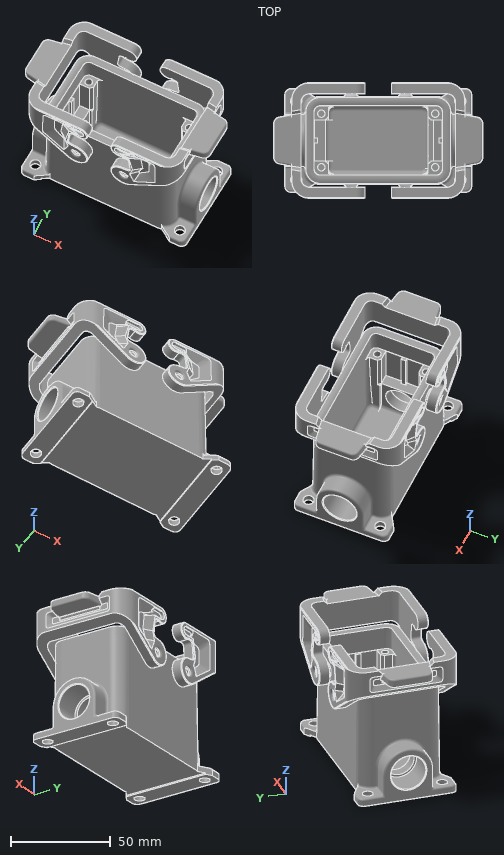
import cadquery as cq
import math

rim_x = 36.3
rim_y = 21.5
draft_growth = 0.5
corner_radius = 7.1
base_z = 0.7
collar_z = 51.5
rim_z = 56.5
wall = 4.1
crown_height = 0.4
crown_root = 0.5
cavity_x = rim_x - wall
cavity_y = rim_y - wall
cavity_corner = corner_radius - wall
floor_z = 4.9
floor_fillet = 2.1
cavity_draft = 0.6
trough_corner = 2.6

post_x = 25.0
post_y = 10.3
post_z = 44.6
post_bevel = 1.6
bay_x = 32.0
screw_x = 28.6
screw_y = 13.4
screw_radius = 1.84
screw_depth = 15.8
left_block_x = 26.5
ledge_z = 24.2
ramp_start_x = 27.6
ramp_rise = 4.6
rib_depth = 1.7
rib_width = 2.5

foot_x = 46.9
foot_y = 26.0
foot_top_z = 3.9
foot_corner = 3.2
foot_flat_x = 38.6
foot_tip_x = 31.4
pad_inner_x = 35.5
foot_edge = 1.0
foot_hole_x = 41.2
foot_hole_y = 19.7
foot_hole_radius = 2.7
entry_z = 15.0
entry_radius = 13.0
root_fillet = 1.3
bore_radius = 9.2
bore_chamfer = 0.4
passage_radius = 7.9

lever_end_x = 43.5
lever_width = 58.1
lever_y = lever_width / 2
lever_top_z = 73.2
cheek_thickness = 5.7
end_thickness = 4.8
lever_corner = 9.0
lever_inner_corner = 4.0
lever_edge = 0.4
pivot_x = 13.6
pivot_z = 47.6
pivot_radius = 7.0
nose_radius = 4.4
nose_x = pivot_x - pivot_radius + nose_radius
nose_z = lever_top_z - nose_radius
lever_low_z = 59.7
cheek_y = lever_y - cheek_thickness
hook_z = 64.9
hook_depth_top = 16.5
hook_depth_low = 17.6
hook_low_z = 55.1
hook_fillet = 1.6
cheek_pocket_depth = 3.2
pocket_corner = 4.2
pocket_reach = 5.8
channel_length = 5.5
channel_width = 4.4
channel_depth = 1.6
channel_slope = 25.0
socket_radius = 2.3
socket_bottom_radius = 1.8
socket_round = 1.2
socket_depth = 0.5
pin_radius = 3.6
pin_tip_radius = 2.5
pin_land = 0.7
pin_embed = 3.0

tab_x = 52.5
tab_top_z = 71.4
tab_tip_low_z = 67.0
tab_root_low_z = 66.4
tab_tip_y = 11.3
tab_root_y = 13.6
tab_corner = 3.6
tab_edge = 0.9
web_y = 12.2
web_height = 1.4
web_run = 0.7
notch_slope = 45.0
end_pocket_y = 19.3
end_pocket_low_z = 61.5
end_pocket_top_z = 70.0
end_pocket_slope = 2.6
end_pocket_depth = 2.1
end_pocket_corner = 1.7

margin = 0.5


def box(x0, x1, y0, y1, z0, z1):
    return cq.Workplane("XY").box(x1 - x0, y1 - y0, z1 - z0, centered=False).translate((x0, y0, z0))


def rounded_block(half_x, half_y, radius, z0, z1):
    return box(-half_x, half_x, -half_y, half_y, z0, z1).edges("|Z").fillet(radius)


def both_ends(solid):
    return solid.union(solid.mirror("YZ"))


def drafted_block(low_x, low_y, radius, z0, z1, growth):
    """Rounded block whose walls move outward by growth from z0 to z1."""
    low = cq.Sketch().rect(2 * low_x, 2 * low_y).vertices().fillet(radius)
    high = cq.Sketch().rect(2 * (low_x + growth), 2 * (low_y + growth)).vertices().fillet(radius)
    lift = cq.Location(cq.Vector(0, 0, z1 - z0))
    return cq.Workplane("XY", origin=(0, 0, z0)).placeSketch(low, high.moved(lift)).loft()


def make_shell():
    low_x = rim_x + draft_growth
    low_y = rim_y + draft_growth
    drafted = drafted_block(low_x, low_y, corner_radius, base_z, collar_z, -draft_growth)
    return drafted.union(rounded_block(rim_x, rim_y, corner_radius, collar_z, rim_z))


def make_crown():
    """Shallow arched crown that runs around the rim."""
    half = wall / 2
    mid_x = rim_x - half
    mid_y = rim_y - half
    path = rounded_block(mid_x, mid_y, corner_radius - half, 0, rim_z).faces(">Z").wires()
    section = (
        cq.Workplane("XZ").center(mid_x, rim_z).moveTo(-half, -crown_root).lineTo(-half, 0)
        .threePointArc((0, crown_height), (half, 0)).lineTo(half, -crown_root).close()
    )
    return section.sweep(path)


def make_foot():
    """Mounting foot with its arched cable entry, at the -X end."""
    outline = [
        (-foot_x, -foot_y), (-foot_flat_x, -foot_y), (-foot_tip_x, -rim_y),
        (-foot_tip_x, rim_y), (-foot_flat_x, foot_y), (-foot_x, foot_y),
    ]
    plate = cq.Workplane("XY").polyline(outline).close().extrude(foot_top_z)
    plate = plate.edges("|Z and <X").fillet(foot_corner)
    relief = box(-pad_inner_x, 0, -foot_y, foot_y, 0, base_z)
    plate = plate.cut(relief)
    depth = foot_x - foot_tip_x
    arch = (
        cq.Workplane("YZ").workplane(offset=-foot_x)
        .moveTo(-entry_radius, 0).lineTo(-entry_radius, entry_z)
        .threePointArc((0, entry_z + entry_radius), (entry_radius, entry_z))
        .lineTo(entry_radius, 0).close().extrude(depth)
    )
    arch = arch.cut(relief)
    front_edges = plate.union(arch).faces("<X").edges("not <Z")
    return front_edges.fillet(foot_edge)


def round_roots(body):
    """Blend the feet and cable entries into the shell."""
    front_x = foot_x - foot_edge - margin
    side_y = rim_y + margin
    low_z = foot_top_z - margin
    top_z = entry_z + entry_radius
    for low_x, high_x in ((-front_x, -foot_tip_x), (foot_tip_x, front_x)):
        root = cq.selectors.BoxSelector((low_x, -side_y, low_z), (high_x, side_y, top_z))
        body = body.edges(root).fillet(root_fillet)
    return body


def foot_holes():
    points = [(sx * foot_hole_x, sy * foot_hole_y) for sx in (-1, 1) for sy in (-1, 1)]
    return cq.Workplane("XY").pushPoints(points).circle(foot_hole_radius).extrude(foot_top_z)


def post_bay():
    """Space between the two posts at the -X end, with bevelled post corners."""
    bevel_x = post_x + post_bevel
    bevel_y = post_y + post_bevel
    return (
        cq.Workplane("XY").workplane(offset=ledge_z)
        .polyline([
            (0, -bevel_y), (-post_x, -bevel_y), (-bevel_x, -post_y), (-bay_x, -post_y),
            (-bay_x, post_y), (-bevel_x, post_y), (-post_x, bevel_y), (0, bevel_y),
        ]).close().extrude(post_z - ledge_z)
    )


def make_cavity():
    """Everything hollow inside the shell above the floor, with the post screw holes."""
    low_y = cavity_y - cavity_draft
    trough = drafted_block(post_x, low_y, trough_corner, floor_z, collar_z, cavity_draft)
    trough = trough.faces("<Z").edges().fillet(floor_fillet)
    trough = trough.intersect(box(-post_x, post_x, -cavity_y, cavity_y, floor_z, post_z))
    alcove = box(-left_block_x, 0, -post_y, post_y, floor_z, ledge_z)
    alcove = alcove.edges("<X and <Z").fillet(floor_fillet)
    bays = both_ends(post_bay())
    ramp = (
        cq.Workplane("XZ").workplane(offset=-cavity_y)
        .polyline([(ramp_start_x, ledge_z), (cavity_x, ledge_z), (cavity_x, ledge_z + ramp_rise)])
        .close().extrude(2 * cavity_y)
    )
    cavity = trough.union(alcove).union(bays.cut(ramp))
    inset = cavity_draft * (collar_z - post_z) / (collar_z - floor_z)
    headroom = drafted_block(cavity_x - inset, cavity_y - inset, cavity_corner, post_z, collar_z, inset)
    headroom = headroom.union(rounded_block(cavity_x, cavity_y, cavity_corner, collar_z, rim_z))
    rib = box(cavity_x - rib_depth, cavity_x, -rib_width / 2, rib_width / 2, ledge_z, post_z)
    return cavity.union(headroom).cut(both_ends(rib)).union(screw_holes())


def screw_holes():
    points = [(sx * screw_x, sy * screw_y) for sx in (-1, 1) for sy in (-1, 1)]
    holes = cq.Workplane("XY").workplane(offset=post_z).pushPoints(points).circle(screw_radius)
    return holes.extrude(-screw_depth)


def x_cylinder(radius, x0, x1):
    return cq.Workplane("YZ").workplane(offset=x0).center(0, entry_z).circle(radius).extrude(x1 - x0)


def cable_bore():
    """Chamfered cable bore at the -X end, with a narrower passage into the cavity."""
    bore = x_cylinder(bore_radius, -foot_x, -cavity_x)
    mouth = (
        cq.Workplane("YZ").workplane(offset=-foot_x).center(0, entry_z)
        .circle(bore_radius + bore_chamfer).workplane(offset=bore_chamfer).circle(bore_radius).loft()
    )
    return bore.union(mouth).union(x_cylinder(passage_radius, -cavity_x, -post_x + floor_fillet))


def lever_profile():
    """Side outline of the -X lever, carried across the full width."""
    reach = math.hypot(lever_end_x - pivot_x, lever_low_z - pivot_z)
    slope = math.atan2(lever_low_z - pivot_z, lever_end_x - pivot_x) + math.asin(pivot_radius / reach)
    tangent_x = -pivot_x - pivot_radius * math.sin(slope)
    tangent_z = pivot_z - pivot_radius * math.cos(slope)
    plane = cq.Workplane("XZ").workplane(offset=-lever_y)
    plate = plane.polyline([
        (-lever_end_x, lever_low_z), (tangent_x, tangent_z), (-pivot_x, pivot_z),
        (-pivot_x, pivot_z + pivot_radius), (-hook_depth_low, hook_low_z),
        (-hook_depth_top, hook_z), (-nose_x, hook_z), (-nose_x, lever_top_z), (-lever_end_x, lever_top_z),
    ]).close().extrude(lever_width)
    for x, z in ((-hook_depth_top, hook_z), (-hook_depth_low, hook_low_z)):
        low_corner = (x - margin, -lever_y, z - margin)
        high_corner = (x + margin, lever_y, z + margin)
        hook_corner = cq.selectors.BoxSelector(low_corner, high_corner)
        plate = plate.edges("|Y").edges(hook_corner).fillet(hook_fillet)
    nose = plane.center(-nose_x, nose_z).circle(nose_radius).extrude(lever_width)
    eye = plane.center(-pivot_x, pivot_z).circle(pivot_radius).extrude(lever_width)
    plate = plate.union(nose).union(eye)
    return plate.faces("<Y or >Y").edges("not |Z").chamfer(lever_edge)


def cheek_pocket():
    """Sloped-wall pocket in the -Y cheek of the -X lever."""
    rim = [
        (-31.8, 71.2), (-10.8, 71.2), (-10.8, 66.8), (-17.0, 66.6),
        (-19.1, 57.1), (-17.5, 52.2), (-20.0, 46.8), (-32.1, 55.0),
    ]
    floor = [
        (-26.9, 65.8), (-22.7, 66.6), (-22.3, 66.0), (-22.3, 65.3),
        (-23.3, 57.4), (-21.0, 52.7), (-21.6, 51.9), (-26.9, 56.9),
    ]
    pocket = (
        cq.Workplane("XZ").workplane(offset=lever_y).polyline(rim).close()
        .workplane(offset=-cheek_pocket_depth).polyline(floor).close().loft(ruled=True)
    )
    for x, z in (rim[0], rim[-1]):
        low_corner = (x, -lever_y, z - pocket_reach)
        high_corner = (x + pocket_reach, 0, z + pocket_reach)
        sloped = cq.selectors.BoxSelector(low_corner, high_corner)
        pocket = pocket.edges(sloped).edges("not #Y").fillet(pocket_corner)
    channel = (
        cq.Workplane("XZ").workplane(offset=lever_y).center(-nose_x - channel_length / 2, nose_z)
        .slot2D(channel_length + channel_width, channel_width).extrude(-channel_depth, taper=channel_slope)
    )
    return pocket.union(channel)


def pivot_socket():
    """Blind recess over the pivot: rounded mouth, then a cone down to a flat."""
    mouth_radius = socket_radius + socket_round
    round_y = -lever_y + socket_round
    flat_y = round_y + socket_depth
    bend = socket_round * (1 - math.sqrt(0.5))
    profile = (
        cq.Workplane("XY").moveTo(0, -lever_y).lineTo(mouth_radius, -lever_y)
        .threePointArc((socket_radius + bend, -lever_y + bend), (socket_radius, round_y))
        .lineTo(socket_bottom_radius, flat_y).lineTo(0, flat_y).close()
    )
    return profile.revolve(360, (0, 0, 0), (0, 1, 0)).translate((-pivot_x, 0, pivot_z))


def pivot_pin():
    """Pin that joins the -Y cheek of the -X lever to the shell wall."""
    root_y = rim_y - pin_embed
    land_y = rim_y + pin_land
    land = (
        cq.Workplane("XZ").workplane(offset=root_y).center(-pivot_x, pivot_z)
        .circle(pin_radius).extrude(land_y - root_y)
    )
    cone = (
        cq.Workplane("XZ").workplane(offset=land_y).center(-pivot_x, pivot_z).circle(pin_radius)
        .workplane(offset=cheek_y - land_y).circle(pin_tip_radius).loft()
    )
    return land.union(cone)


def tab_outline(z):
    wall_x = lever_end_x - end_thickness
    return cq.Workplane("XY").workplane(offset=z).polyline([
        (-wall_x, -tab_root_y), (-tab_x, -tab_tip_y), (-tab_x, tab_tip_y), (-wall_x, tab_root_y),
    ]).close()


def make_tab():
    """Finger tab on the end wall of the -X lever, with its root web."""
    wall_x = lever_end_x - end_thickness
    tab = tab_outline(lever_low_z).extrude(tab_top_z - lever_low_z)
    tab = tab.edges("|Z and <X").fillet(tab_corner)
    side = (
        cq.Workplane("XZ").workplane(offset=-lever_y)
        .polyline([
            (-tab_x, tab_tip_low_z), (-wall_x, tab_root_low_z), (-wall_x, tab_top_z), (-tab_x, tab_top_z),
        ]).close().extrude(lever_width)
    )
    tab = tab.intersect(side)
    tab = tab.faces("<X").edges("|Y").fillet(tab_edge)
    pocket_floor_x = lever_end_x - end_pocket_depth
    web = (
        cq.Workplane("XZ").workplane(offset=-web_y)
        .polyline([
            (-pocket_floor_x - web_run, tab_root_low_z), (-pocket_floor_x, tab_root_low_z - web_height),
            (-wall_x, tab_root_low_z - web_height), (-wall_x, tab_root_low_z + web_height),
            (-pocket_floor_x - web_run, tab_root_low_z + web_height),
        ]).close().extrude(2 * web_y)
    )
    return tab.union(web)


def end_pocket():
    height = end_pocket_top_z - end_pocket_low_z
    middle_z = (end_pocket_top_z + end_pocket_low_z) / 2
    rim = cq.Sketch().rect(2 * end_pocket_y, height).vertices().fillet(end_pocket_corner)
    floor = cq.Sketch().rect(2 * (end_pocket_y - end_pocket_slope), height - 2 * end_pocket_slope)
    floor = floor.vertices().fillet(end_pocket_corner / 2)
    start = cq.Workplane("YZ", origin=(-lever_end_x, 0, middle_z))
    return start.placeSketch(rim, floor.moved(cq.Location(cq.Vector(0, 0, end_pocket_depth)))).loft()


def make_lever():
    """U-shaped locking lever at the -X end with tab, pockets and pivot pins."""
    inner_x = lever_end_x - end_thickness
    plan = box(-lever_end_x, 0, -lever_y, lever_y, 0, lever_top_z).edges("|Z and <X").fillet(lever_corner)
    hollow = box(-inner_x, 0, -cheek_y, cheek_y, 0, lever_top_z)
    hollow = hollow.edges("|Z and <X").fillet(lever_inner_corner)
    lever = plan.intersect(lever_profile())
    drop = lever_top_z - tab_top_z
    notch = tab_outline(tab_top_z).extrude(drop, taper=-notch_slope)
    lever = lever.cut(hollow).cut(notch).cut(end_pocket())
    lever = lever.union(make_tab())
    for cut in (cheek_pocket(), pivot_socket()):
        lever = lever.cut(cut).cut(cut.mirror("XZ"))
    pin = pivot_pin()
    return lever.union(pin).union(pin.mirror("XZ"))


body = round_roots(make_shell().union(both_ends(make_foot())))
body = body.cut(make_cavity())
body = body.union(make_crown())
body = body.cut(both_ends(cable_bore())).cut(foot_holes())
result = body.union(both_ends(make_lever()))